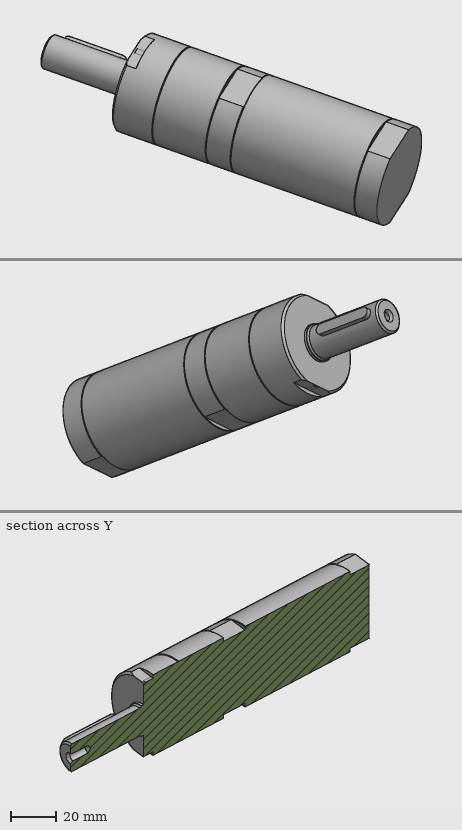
import cadquery as cq
import math

total_length = 171.5
shaft_tip = -total_length / 2
body_end = total_length / 2
body_face = shaft_tip + 42.0
nose_flat_end = shaft_tip + 47.5
joint_cap = shaft_tip + 61.9
joint_front = shaft_tip + 88.0
joint_middle = shaft_tip + 100.2
joint_rear = shaft_tip + 160.5

body_diameter = 46.0
body_radius = body_diameter / 2
face_chamfer = 1.0
joint_width = 0.5
joint_depth = 0.25
flat_height = 21.0
crown_width = 2.7

shaft_radius = 16.0 / 2
taper_radius = 17.0 / 2
collar_radius = 17.5 / 2
collar_length = 1.2
collar_taper = 1.0
tip_chamfer = 0.9

hole_diameter = 4.1
countersink_diameter = 5.8
countersink_angle = 60.0
hole_depth = 10.3
drill_point_angle = 118.0

key_width = 5.0
key_length = 30.0
key_start = shaft_tip + 3.8
key_top = 10.1
key_bottom = 5.0


def cylinder(start, end, radius):
    """Solid cylinder on the X axis between two stations."""
    return cq.Workplane("YZ", origin=(start, 0, 0)).circle(radius).extrude(end - start)


def revolve_profile(points):
    """Solid turned about the X axis from (station, radius) points."""
    return cq.Workplane("XY").polyline(points).close().revolve(360, (0, 0, 0), (1, 0, 0))


def joint_groove(station):
    """V-shaped ring that marks the joint between two body sections."""
    half_width = joint_width / 2
    return revolve_profile([
        (station - half_width, body_radius),
        (station, body_radius - joint_depth),
        (station + half_width, body_radius),
    ])


def flat_cutter(start, end):
    """Pair of blocks that cut flats on the +Z and -Z sides."""
    length = end - start
    block_height = body_radius
    upper = cq.Workplane("XY", origin=((start + end) / 2, 0, flat_height)).box(
        length, body_diameter, block_height, centered=(True, True, False)
    )
    return upper.union(upper.mirror("XY"))


def make_body():
    """Jointed cylinder with a chamfered front face and three pairs of flats."""
    body = cylinder(body_face, body_end, body_radius).faces("<X").chamfer(face_chamfer)
    for station in (joint_cap, joint_front, joint_middle, joint_rear):
        body = body.cut(joint_groove(station))
    flat_spans = [
        (body_face, nose_flat_end),
        (joint_front, joint_middle),
        (joint_rear, body_end),
    ]
    for start, end in flat_spans:
        body = body.cut(flat_cutter(start, end))
    core_radius = math.hypot(flat_height, crown_width / 2)
    return body.union(cylinder(body_face + face_chamfer, nose_flat_end, core_radius))


def make_shaft():
    """Shaft with a chamfered tip and a tapered step up to its collar."""
    collar_start = body_face - collar_length
    return revolve_profile([
        (shaft_tip, 0),
        (shaft_tip, shaft_radius - tip_chamfer),
        (shaft_tip + tip_chamfer, shaft_radius),
        (collar_start - collar_taper, shaft_radius),
        (collar_start, taper_radius),
        (collar_start, collar_radius),
        (body_face, collar_radius),
        (body_face, 0),
    ])


def make_key():
    """Round-ended key standing out of the shaft."""
    return (
        cq.Workplane("XZ", origin=(key_start + key_length / 2, key_top, 0))
        .slot2D(key_length, key_width)
        .extrude(key_top - key_bottom)
    )


def make_centre_hole():
    """Countersunk blind hole with a conical drill point."""
    hole_radius = hole_diameter / 2
    sink_radius = countersink_diameter / 2
    sink_depth = (sink_radius - hole_radius) / math.tan(math.radians(countersink_angle / 2))
    point_length = hole_radius / math.tan(math.radians(drill_point_angle / 2))
    return revolve_profile([
        (shaft_tip, 0),
        (shaft_tip, sink_radius),
        (shaft_tip + sink_depth, hole_radius),
        (shaft_tip + hole_depth, hole_radius),
        (shaft_tip + hole_depth + point_length, 0),
    ])


result = make_body().union(make_shaft()).union(make_key()).cut(make_centre_hole())